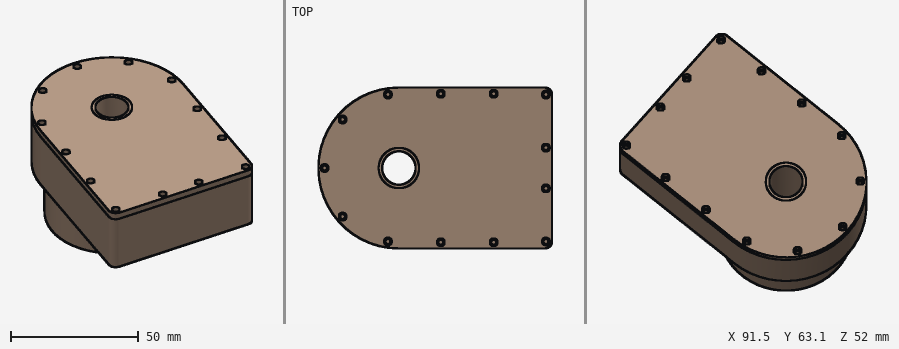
import cadquery as cq
import math

total_length = 91.5
total_width = 63.1
total_height = 52.0

end_radius = total_width / 2
square_end_x = total_length - end_radius
corner_radius = 3.0

base_height = 25.0
lid_thickness = 3.0
lid_bottom_z = total_height - lid_thickness
housing_height = lid_bottom_z - base_height

base_diameter = 53.0
sleeve_outer_diameter = 15.8
sleeve_bore_diameter = 13.0

clearance_diameter = 3.0
pilot_diameter = 2.0
pilot_depth = 6.0
screw_inset = 2.5
screw_pitch = 20.7
corner_screw_y = 28.7
end_screw_y = 8.0


def screw_points():
    """Screw centres: round the curved end, along both sides and across the square end."""
    row_radius = end_radius - screw_inset
    row_end_x = square_end_x - screw_inset
    pitch_angle = screw_pitch / row_radius

    points = []
    for step in range(-2, 3):
        angle = math.pi + step * pitch_angle
        points.append((row_radius * math.cos(angle), row_radius * math.sin(angle)))

    quarter_arc = row_radius * math.pi / 2
    first_side_x = 3 * screw_pitch - quarter_arc
    for side in (-1, 1):
        points.append((first_side_x, side * row_radius))
        points.append((first_side_x + screw_pitch, side * row_radius))
        points.append((row_end_x, side * corner_screw_y))
        points.append((row_end_x, side * end_screw_y))
    return points


def d_shaped_plate(bottom_z, height):
    """Plate with one semicircular end and two rounded corners at the square end."""
    return (
        cq.Workplane("XY", origin=(0, 0, bottom_z))
        .moveTo(0, -end_radius)
        .lineTo(square_end_x, -end_radius)
        .lineTo(square_end_x, end_radius)
        .lineTo(0, end_radius)
        .threePointArc((-end_radius, 0), (0, -end_radius))
        .close()
        .extrude(height)
        .edges("|Z and >X")
        .fillet(corner_radius)
    )


def cylinders(points, diameter, bottom_z, height):
    """Upright cylinders of one size, centred on the given points."""
    return (
        cq.Workplane("XY", origin=(0, 0, bottom_z))
        .pushPoints(points)
        .circle(diameter / 2)
        .extrude(height)
    )


def make_base(sleeve_hole):
    """Round base under the curved end of the housing."""
    return cylinders([(0, 0)], base_diameter, 0, base_height).cut(sleeve_hole)


def make_housing(sleeve_hole):
    """Housing block with blind pilot holes in its top face."""
    pilots = cylinders(screw_points(), pilot_diameter, lid_bottom_z - pilot_depth, pilot_depth)
    return d_shaped_plate(base_height, housing_height).cut(sleeve_hole).cut(pilots)


def make_lid(sleeve_hole):
    """Cover plate with a clearance hole for every screw."""
    clearances = cylinders(screw_points(), clearance_diameter, lid_bottom_z, lid_thickness)
    return d_shaped_plate(lid_bottom_z, lid_thickness).cut(sleeve_hole).cut(clearances)


def make_sleeve(sleeve_envelope):
    """Hollow sleeve running the full height, flush with the lid and the base."""
    bore = cylinders([(0, 0)], sleeve_bore_diameter, 0, total_height)
    return sleeve_envelope.cut(bore)


sleeve_envelope = cylinders([(0, 0)], sleeve_outer_diameter, 0, total_height)

base = make_base(sleeve_envelope)
housing = make_housing(sleeve_envelope)
lid = make_lid(sleeve_envelope)
sleeve = make_sleeve(sleeve_envelope)

result = cq.Compound.makeCompound([base.val(), housing.val(), lid.val(), sleeve.val()])